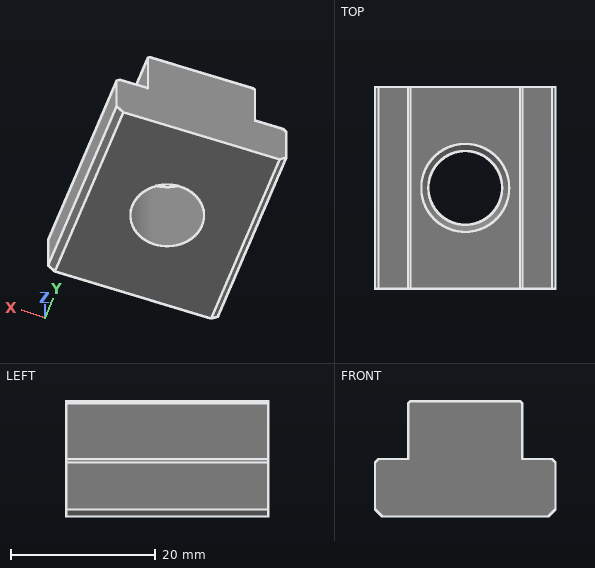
import cadquery as cq

base_width = 25.0
length = 28.0
height = 16.0
base_height = 8.0
neck_width = 15.8

bottom_chamfer = 1.0
shoulder_chamfer = 0.5
neck_chamfer = 0.3

hole_diameter = 10.2
countersink_depth = 1.0


def bar(width, bottom, top):
    """Rectangular bar centred on X and Y, running the full length."""
    return cq.Workplane("XY").workplane(offset=bottom).rect(width, length).extrude(top - bottom)


def make_base():
    base = bar(base_width, 0, base_height)
    base = base.faces("<Z").edges("|Y").chamfer(bottom_chamfer)
    return base.faces(">Z").edges("|Y").chamfer(shoulder_chamfer)


def make_neck():
    neck = bar(neck_width, base_height, height)
    return neck.faces(">Z").edges("|Y").chamfer(neck_chamfer)


def drill_hole(body):
    hole_radius = hole_diameter / 2
    drilled = body.faces(">Z").workplane(origin=(0, 0, height)).hole(hole_diameter)
    countersink = cq.Solid.makeCone(
        hole_radius,
        hole_radius + countersink_depth,
        countersink_depth,
        pnt=cq.Vector(0, 0, height - countersink_depth),
    )
    return drilled.cut(cq.Workplane(countersink))


result = drill_hole(make_base().union(make_neck()))